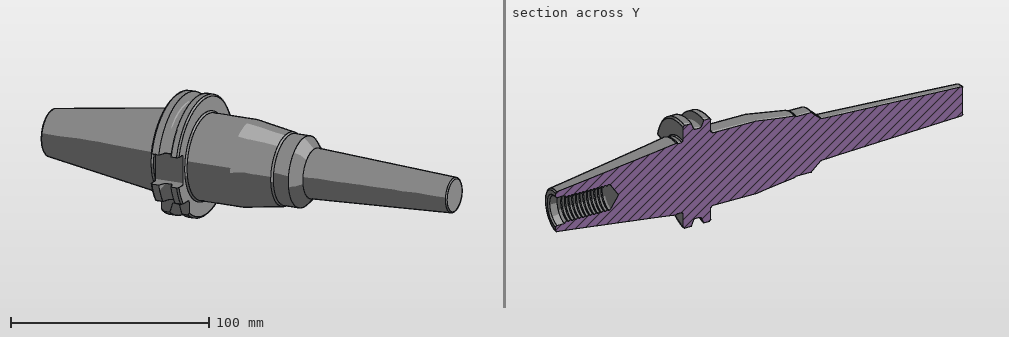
import cadquery as cq
import math

OVERALL_LENGTH = 228.2

TAPER_LENGTH = 67.5
GAUGE_RADIUS = 22.1
TAPER_SLOPE = 7 / 48
SHANK_CHAMFER = 0.7
NECK_RADIUS = 21.7
NECK_RAMP = 1.1
NECK_ROOT = 0.7

FLANGE_RADIUS = 31.7
FLANGE_START = TAPER_LENGTH + 3.9
FLANGE_WIDTH = 15.7
FLANGE_CHAMFER = 1.0
GROOVE_CENTER = FLANGE_START + 8.2
GROOVE_FLOOR_RADIUS = 27.6
GROOVE_FLOOR_WIDTH = 3.7
GROOVE_MOUTH_WIDTH = 6.8
GROOVE_ROOT_FILLET = 0.7

BODY_DIAMETER = 45.0
BODY_RADIUS = BODY_DIAMETER / 2
FLANGE_FOOT = 1.0
BODY_END = 112.5
BODY_CONE_END = 133.8
BODY_CONE_END_RADIUS = 19.2
COLLAR_RADIUS = 18.5
COLLAR_STEP = 1.1
COLLAR_CHAMFER_START = 143.3
COLLAR_CHAMFER = 3.9
NOSE_START = 148.8
NOSE_BASE_RADIUS = 13.0
NOSE_TIP_RADIUS = 9.1
NOSE_CHAMFER = 0.7

BORE_MOUTH_RADIUS = 9.4
BORE_RADIUS = 8.5
BORE_DEPTH = 5.0
THREAD_CORE_RADIUS = 7.0
THREAD_ROOT_RADIUS = 8.0
THREAD_PITCH = 2.0
THREAD_TURNS = 12
DRILL_POINT_ANGLE = 118

SLOT_WIDTH = 16
SLOT_FLOOR_BACK = BODY_RADIUS
SLOT_FLOOR_FRONT = 25
NOTCH_Y = 18.3
NOTCH_Z = 18.0
CORNER_RADIUS = 1.1


def revolve_about_x(points):
    """Turn a closed (x, radius) outline about the X axis."""
    return cq.Workplane("XY").polyline(points).close().revolve(360, (0, 0, 0), (1, 0, 0))


def turned_body():
    small_radius = GAUGE_RADIUS - TAPER_LENGTH * TAPER_SLOPE
    flange_end = FLANGE_START + FLANGE_WIDTH
    collar_start = BODY_CONE_END + COLLAR_STEP
    shoulder_x = COLLAR_CHAMFER_START + COLLAR_CHAMFER
    shoulder_radius = COLLAR_RADIUS - COLLAR_CHAMFER
    return revolve_about_x([
        (0, 0),
        (0, small_radius - SHANK_CHAMFER),
        (SHANK_CHAMFER, small_radius + SHANK_CHAMFER * TAPER_SLOPE),
        (TAPER_LENGTH, GAUGE_RADIUS),
        (TAPER_LENGTH + NECK_RAMP, NECK_RADIUS),
        (FLANGE_START - NECK_ROOT, NECK_RADIUS),
        (FLANGE_START, NECK_RADIUS + NECK_ROOT),
        (FLANGE_START, FLANGE_RADIUS - FLANGE_CHAMFER),
        (FLANGE_START + FLANGE_CHAMFER, FLANGE_RADIUS),
        (flange_end - FLANGE_CHAMFER, FLANGE_RADIUS),
        (flange_end, FLANGE_RADIUS - FLANGE_CHAMFER),
        (flange_end, BODY_RADIUS + FLANGE_FOOT),
        (flange_end + FLANGE_FOOT, BODY_RADIUS),
        (BODY_END, BODY_RADIUS),
        (BODY_CONE_END, BODY_CONE_END_RADIUS),
        (collar_start, COLLAR_RADIUS),
        (COLLAR_CHAMFER_START, COLLAR_RADIUS),
        (shoulder_x, shoulder_radius),
        (NOSE_START, NOSE_BASE_RADIUS),
        (OVERALL_LENGTH - NOSE_CHAMFER, NOSE_TIP_RADIUS),
        (OVERALL_LENGTH, NOSE_TIP_RADIUS - NOSE_CHAMFER),
        (OVERALL_LENGTH, 0),
    ])


def flange_groove():
    """Ring with a V section, its two floor edges rounded."""
    half_mouth = GROOVE_MOUTH_WIDTH / 2
    half_floor = GROOVE_FLOOR_WIDTH / 2
    ring = revolve_about_x([
        (GROOVE_CENTER - half_mouth, FLANGE_RADIUS),
        (GROOVE_CENTER - half_floor, GROOVE_FLOOR_RADIUS),
        (GROOVE_CENTER + half_floor, GROOVE_FLOOR_RADIUS),
        (GROOVE_CENTER + half_mouth, FLANGE_RADIUS),
    ])
    return ring.edges(cq.selectors.RadiusNthSelector(0)).fillet(GROOVE_ROOT_FILLET)


def drawbar_bore():
    mouth_depth = BORE_MOUTH_RADIUS - BORE_RADIUS
    step_depth = BORE_RADIUS - THREAD_CORE_RADIUS
    point_depth = THREAD_CORE_RADIUS / math.tan(math.radians(DRILL_POINT_ANGLE / 2))
    thread_start = BORE_DEPTH + step_depth
    thread_end = thread_start + THREAD_TURNS * THREAD_PITCH
    outline = [
        (0, 0),
        (0, BORE_MOUTH_RADIUS),
        (mouth_depth, BORE_RADIUS),
        (BORE_DEPTH, BORE_RADIUS),
        (thread_start, THREAD_CORE_RADIUS),
    ]
    for turn in range(THREAD_TURNS):
        crest_x = thread_start + turn * THREAD_PITCH
        outline.append((crest_x + THREAD_PITCH / 2, THREAD_ROOT_RADIUS))
        outline.append((crest_x + THREAD_PITCH, THREAD_CORE_RADIUS))
    outline.append((thread_end + point_depth, 0))
    return revolve_about_x(outline)


def flange_cut(y_floor, y_outer, z_low, z_high):
    """Block across the flange and its foot, its corners along X rounded."""
    length = FLANGE_WIDTH + FLANGE_FOOT
    block = cq.Workplane("XY").box(length, abs(y_outer - y_floor), z_high - z_low)
    center = (FLANGE_START + length / 2, (y_floor + y_outer) / 2, (z_low + z_high) / 2)
    return block.edges("|X").fillet(CORNER_RADIUS).translate(center)


outside = FLANGE_RADIUS + 2 * CORNER_RADIUS
result = (
    turned_body()
    .cut(flange_groove())
    .cut(drawbar_bore())
    .cut(flange_cut(SLOT_FLOOR_BACK, outside, -SLOT_WIDTH / 2, SLOT_WIDTH / 2))
    .cut(flange_cut(-SLOT_FLOOR_FRONT, -outside, -SLOT_WIDTH / 2, SLOT_WIDTH / 2))
    .cut(flange_cut(-NOTCH_Y, -outside, -outside, -NOTCH_Z))
)